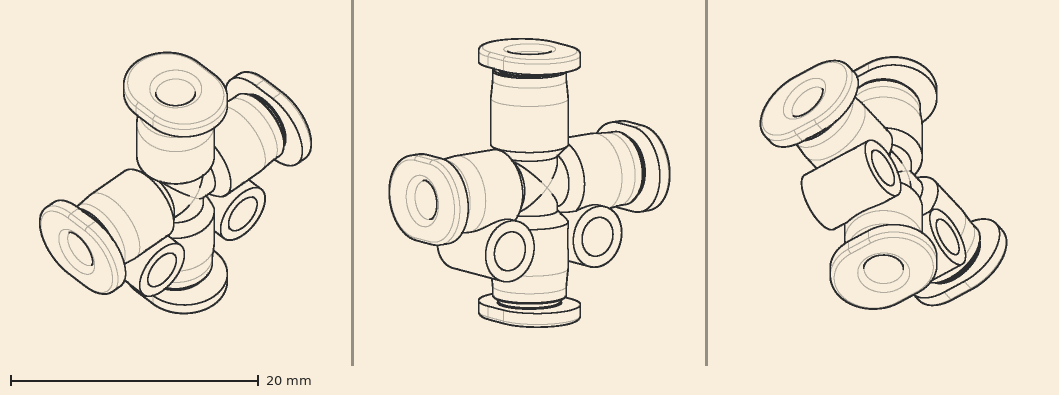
import cadquery as cq

arm_reach = 11.05

collar_length = 9.0
collar_width = 7.0
collar_thickness = 1.2
collar_edge_radius = 0.3

neck_radius = 2.5
neck_root_chamfer = 0.09
sleeve_radius = 2.98
sleeve_chamfer = 0.1
body_radius = 3.14
core_radius = 2.25

collar_base = arm_reach - collar_thickness
sleeve_end = 9.37
taper_end = 8.49
taper_start = 7.0
body_start = 3.18
core_end = 2.28

bore_radius = 1.6
bore_lip_radius = 0.5
bore_depth = 6.63

mount_offset = 4.5
mount_outer_radius = 2.5
mount_hole_radius = bore_radius
mount_length = 6.3


def arm_body():
    """Turned part of the upward arm, from the cross centre to inside the collar."""
    return (
        cq.Workplane("XZ")
        .lineTo(core_radius, 0)
        .lineTo(core_radius, core_end)
        .lineTo(body_radius, body_start)
        .lineTo(body_radius, taper_start)
        .lineTo(sleeve_radius, taper_end)
        .lineTo(sleeve_radius, sleeve_end - sleeve_chamfer)
        .lineTo(sleeve_radius - sleeve_chamfer, sleeve_end)
        .lineTo(neck_radius, sleeve_end)
        .lineTo(neck_radius, collar_base - neck_root_chamfer)
        .lineTo(neck_radius + neck_root_chamfer, collar_base)
        .lineTo(0, collar_base)
        .close()
        .revolve(360, (0, 0, 0), (0, 1, 0))
    )


def collar():
    """Oval flange of the upward arm with a rounded outer rim."""
    return (
        cq.Workplane("XY", origin=(0, 0, collar_base))
        .slot2D(collar_length, collar_width)
        .extrude(collar_thickness)
        .faces(">Z")
        .edges()
        .fillet(collar_edge_radius)
    )


def bore():
    """Cutter for the upward arm's blind bore with its flared, rounded mouth."""
    return (
        cq.Workplane("XZ", origin=(0, 0, arm_reach))
        .lineTo(bore_radius + bore_lip_radius, 0)
        .radiusArc((bore_radius, -bore_lip_radius), -bore_lip_radius)
        .lineTo(bore_radius, -bore_depth)
        .lineTo(0, -bore_depth)
        .close()
        .revolve(360, (0, 0, 0), (0, 1, 0))
    )


def mount_cylinder(side, radius):
    """Cylinder along X at the mounting tube on the given Y side."""
    return (
        cq.Workplane("YZ", origin=(-mount_length / 2, 0, 0))
        .center(side * mount_offset, -mount_offset)
        .circle(radius)
        .extrude(mount_length)
    )


arm = arm_body().union(collar()).cut(bore())
result = arm
for angle in (90, 180, 270):
    result = result.union(arm.rotate((0, 0, 0), (1, 0, 0), angle))

for side in (-1, 1):
    result = result.union(mount_cylinder(side, mount_outer_radius))
    result = result.cut(mount_cylinder(side, mount_hole_radius))